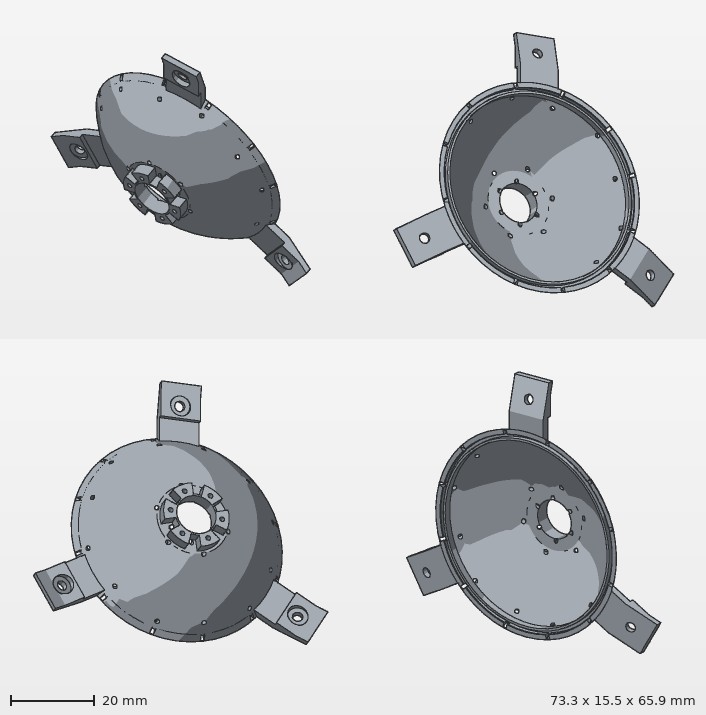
import cadquery as cq
import math

rim_radius = 26.5
flat_radius = 8.95
cap_depth = 12.5
wall = 1.0
base_thickness = 0.8

groove_outer_radius = 25.1
groove_depth = 1.3
lip_outer_radius = 24.3
lip_thickness = 0.6
lip_height = 2.9
notch_outer_radius = 26.3
notch_width = 0.95

bore_diameter = 9.8
overall_depth = 15.5
ring_radius = 5.35
hub_radius = 8.2
block_span = 38
block_angle = -3
block_hole_diameter = 1.2
block_hole_radius = 6.45

pattern_count = 6
pattern_step = 360 / pattern_count
pair_middle_angle = 30
pair_half_angle = 14

wire_hole_diameter = 1.0
bore_wire_radius = 6.0
bore_wire_angle = 27
bore_wire_slant = 42
bore_wire_twist = 16
flat_wire_radius = 9.1
flat_wire_angle = -11.5
flat_wire_slant = 30
outer_rim_wire_radius = 24.1
inner_rim_wire_radius = 23.25
rim_wire_slant = 27

overall_width = 73.3
arm_count = 3
first_arm_angle = 90
arm_width = 10.0
arm_root_thickness = 2.0
arm_pad_thickness = 3.1
arm_step_radius = 30.65
arm_tip_bend_radius = 36.2
arm_tilt = 15
screw_hole_diameter = 2.5
screw_head_diameter = 5.0
screw_radius = 34.5
screw_floor_thickness = 1.5

sphere_center_y = (rim_radius**2 - flat_radius**2 - cap_depth**2) / (2 * cap_depth)
sphere_radius = math.hypot(rim_radius, sphere_center_y)
lower_arm_angle = math.radians(30)
arm_reach = (overall_width - arm_width * math.sin(lower_arm_angle)) / (2 * math.cos(lower_arm_angle))
hub_height = overall_depth - cap_depth
overlap = 0.7


def rod(radius, y_start, y_end):
    """Cylinder about the Y axis."""
    return cq.Workplane("XZ", origin=(0, y_start, 0)).circle(radius).extrude(y_start - y_end)


def ball_cap(radius, floor_y):
    """Part of the ball between the plane of the rim and a flat floor."""
    ball = cq.Workplane("XY").sphere(radius).translate((0, sphere_center_y, 0))
    return ball.intersect(rod(2 * rim_radius, 0, floor_y))


def turned(body, angle):
    """Body turned about the Y axis, from +X towards +Z."""
    return body.rotate((0, 0, 0), (0, 1, 0), -angle)


def pin(diameter, length, start, direction):
    """Cylinder from a start point along a direction."""
    return cq.Workplane(cq.Solid.makeCylinder(diameter / 2, length, start, direction))


def wire_hole(surface_point, direction):
    """Cutter for a small hole that enters the dish at a surface point."""
    start = surface_point - direction * overlap
    return pin(wire_hole_diameter, wall + 3 * overlap, start, direction)


def bore_wire_hole():
    """Hole beside the bore, slanted towards the axis and twisted a little sideways."""
    slant = math.radians(bore_wire_slant)
    twist = math.radians(bore_wire_twist)
    side = math.sin(slant)
    direction = cq.Vector(-side * math.cos(twist), math.cos(slant), -side * math.sin(twist))
    return wire_hole(cq.Vector(bore_wire_radius, -cap_depth, 0), direction)


def flat_wire_hole():
    """Hole at the edge of the flat, slanted sideways."""
    slant = math.radians(flat_wire_slant)
    direction = cq.Vector(0, math.cos(slant), -math.sin(slant))
    return wire_hole(cq.Vector(flat_wire_radius, -cap_depth, 0), direction)


def rim_wire_hole(radius):
    """Hole near the rim, slanted sideways from the normal of the sphere."""
    slant = math.radians(rim_wire_slant)
    sphere_y = sphere_center_y - math.sqrt(sphere_radius**2 - radius**2)
    normal = cq.Vector(-radius, sphere_center_y - sphere_y, 0).normalized()
    direction = normal * math.cos(slant) - cq.Vector(0, 0, 1) * math.sin(slant)
    return wire_hole(cq.Vector(radius, sphere_y, 0), direction)


def make_block():
    """One hub block: a sector with a blind hole, sunk into the base of the dish."""
    half_span = math.radians(block_span / 2)
    far_x = 2 * hub_radius * math.cos(half_span)
    far_z = 2 * hub_radius * math.sin(half_span)
    sector = (
        cq.Workplane("XZ", origin=(0, -cap_depth + base_thickness / 2, 0))
        .polyline([(0, 0), (far_x, far_z), (far_x, -far_z)])
        .close()
        .extrude(hub_height + base_thickness / 2)
    )
    hole = rod(block_hole_diameter / 2, -cap_depth, -overall_depth)
    hollow = rod(bore_diameter / 2, 0, -overall_depth)
    block = sector.intersect(rod(hub_radius, 0, -overall_depth)).cut(hollow)
    return block.cut(hole.translate((block_hole_radius, 0, 0)))


def make_notch():
    """Cutter that widens the groove outwards at one place."""
    inner_radius = groove_outer_radius - overlap / 2
    length = notch_outer_radius - inner_radius
    notch = cq.Workplane("XY").box(length, 2 * groove_depth, notch_width)
    return notch.translate((inner_radius + length / 2, 0, 0))


def make_dish(outer):
    inner = ball_cap(sphere_radius - wall, -cap_depth + base_thickness)
    lip = rod(lip_outer_radius, 0, -lip_height).cut(rod(lip_outer_radius - lip_thickness, 0, -lip_height))
    shell = outer.cut(inner).cut(rod(groove_outer_radius, 0, -groove_depth))
    body = shell.union(lip.intersect(outer))

    body = body.union(rod(ring_radius, -cap_depth + base_thickness, -overall_depth))
    block = make_block()
    for k in range(pattern_count):
        body = body.union(turned(block, block_angle + pattern_step * k))
    body = body.cut(rod(bore_diameter / 2, 0, -overall_depth))

    pair_start = pair_middle_angle - pair_half_angle
    pair_end = pair_middle_angle + pair_half_angle
    cutters = [
        (make_notch(), pair_start),
        (make_notch(), pair_end),
        (rim_wire_hole(outer_rim_wire_radius), pair_start),
        (rim_wire_hole(inner_rim_wire_radius), pair_end),
        (bore_wire_hole(), bore_wire_angle),
        (flat_wire_hole(), flat_wire_angle),
    ]
    for cutter, first_angle in cutters:
        for k in range(pattern_count):
            body = body.cut(turned(cutter, first_angle + pattern_step * k))
    return body


def make_arm(outer):
    """Arm along +X that ends on the outside of the dish."""
    tilt = math.radians(arm_tilt)
    slope = math.tan(tilt)
    tip_back_y = -(arm_reach - arm_step_radius) * slope
    tip_front_y = -arm_pad_thickness - (arm_reach - arm_tip_bend_radius) * slope
    root_x = flat_radius
    profile = [
        (root_x, 0),
        (arm_step_radius, 0),
        (arm_reach, tip_back_y),
        (arm_reach, tip_front_y),
        (arm_tip_bend_radius, -arm_pad_thickness),
        (arm_step_radius, -arm_pad_thickness),
        (arm_step_radius, -arm_root_thickness),
        (root_x, -arm_root_thickness),
    ]
    bar = cq.Workplane("XY").polyline(profile).close().extrude(arm_width / 2, both=True)

    forward = cq.Vector(-math.sin(tilt), -math.cos(tilt), 0)
    back_point = cq.Vector(screw_radius, -(screw_radius - arm_step_radius) * slope, 0)
    floor_point = back_point + forward * screw_floor_thickness
    through = 2 * arm_pad_thickness
    hole = pin(screw_hole_diameter, through, back_point - forward * overlap, forward)
    head = pin(screw_head_diameter, through, floor_point, forward)
    return bar.cut(outer).cut(hole).cut(head)


outer_cap = ball_cap(sphere_radius, -cap_depth)
dish = make_dish(outer_cap)
arm = make_arm(outer_cap)
arms = [turned(arm, first_arm_angle + 360 / arm_count * k) for k in range(arm_count)]
result = cq.Compound.makeCompound([dish.val(), *[each_arm.val() for each_arm in arms]])